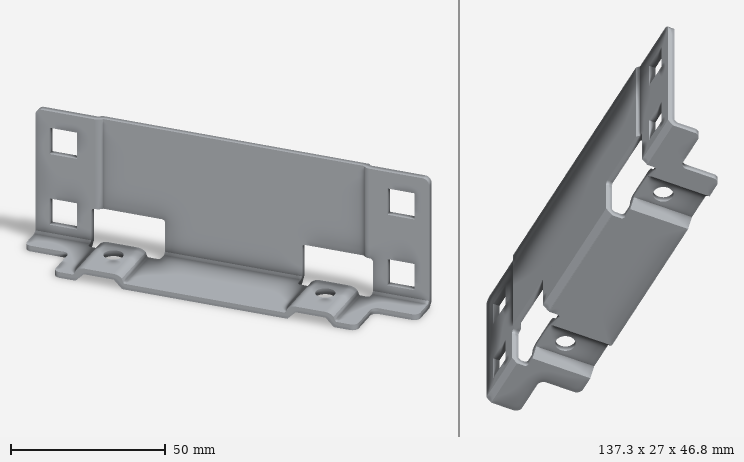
import cadquery as cq
import math

length = 137.3
depth = 27.0
height = 46.8
sheet = 2.0
half_length = length / 2

wall_setback = 1.0
end_panel_sheet = 2.3
step_front_x = 45.5
step_back_x = 46.5
step_convex_radius = 2.7
corner_radius = 2.2
end_panel_back = depth - wall_setback
end_panel_front = end_panel_back - end_panel_sheet
wall_front = depth - sheet

middle_outer_bevel = 2.2
end_outer_bevel = 1.8
bend_inner_bevel = 0.8

tongue_half_width = 52.9
strip_front_y = 14.3

pad_x = 37.0
pad_rise = 2.9
pad_top_half_width = 5.2
pad_foot_half_width = 8.7
pad_convex_radius = 4.0
pad_concave_radius = 0.7
pad_shoulder_angle = 45.0
hollow_top_half_width = 5.2
pad_hole_diameter = 6.6
pad_hole_y = 12.8

opening_inner_x = 23.9
opening_outer_x = 49.2
opening_front_y = 20.7
opening_top_z = 14.4
opening_radius = 1.1

square_side = 9.5
square_x = 58.9
square_heights = (10.6, 36.1)

sides = (-1, 1)
cut_clearance = 1.4


def box(x_range, y_range, z_range):
    """Axis-aligned box given by its limits."""
    corner = (x_range[0], y_range[0], z_range[0])
    size = [limits[1] - limits[0] for limits in (x_range, y_range, z_range)]
    return cq.Workplane("XY").box(*size, centered=False).translate(corner)


def mirrored(points):
    """Outline points reflected in the vertical axis, in the order that continues the outline."""
    return [(-x, y) for x, y in reversed(points)]


def make_wall():
    """Plan outline raised to full height, with 45 degree steps between middle and end panels."""
    step_front_end_x = step_front_x + wall_front - end_panel_front
    right_half = [
        (step_front_x, wall_front),
        (step_front_end_x, end_panel_front),
        (half_length, end_panel_front),
        (half_length, end_panel_back),
        (step_back_x + wall_setback, end_panel_back),
        (step_back_x, depth),
    ]
    wall = cq.Workplane("XY").polyline(right_half + mirrored(right_half)).close().extrude(height)
    for side in sides:
        step_edge = cq.selectors.NearestToPointSelector((side * step_front_end_x, end_panel_front, height / 2))
        wall = wall.edges("|Z").edges(step_edge).fillet(step_convex_radius)
    return wall.edges("|Y and >Z").edges("<X or >X").fillet(corner_radius)


def make_floor():
    right_half = [
        (tongue_half_width, 0),
        (tongue_half_width, strip_front_y),
        (half_length, strip_front_y),
        (half_length, end_panel_front + end_panel_sheet / 2),
    ]
    outline = cq.Workplane("XY").polyline(right_half + mirrored(right_half)).close().extrude(sheet + pad_rise)
    outline = outline.edges("|Z and (not >Y)").fillet(corner_radius)
    return outline.intersect(make_floor_section())


def make_floor_section():
    """Floor cross-section in XZ with both pads, running the whole depth."""
    section = box((-half_length, half_length), (0, depth), (0, sheet))
    for side in sides:
        section = section.union(make_pad(side)).cut(make_pad_hollow(side))
    return section


def make_pad(side):
    """Raised hump with rounded shoulders that end at 45 degrees, still solid underneath."""
    top_z = sheet + pad_rise
    arc_center_z = top_z - pad_convex_radius

    def shoulder(degrees):
        angle = math.radians(degrees)
        x = pad_top_half_width + pad_convex_radius * math.sin(angle)
        return (x, arc_center_z + pad_convex_radius * math.cos(angle))

    arc_end, arc_middle, arc_start = (
        shoulder(share * pad_shoulder_angle) for share in (1, 0.5, 0)
    )
    left_start, left_middle, left_end = mirrored([arc_end, arc_middle, arc_start])
    apron_half_width = pad_foot_half_width + 2 * pad_concave_radius
    pad = (
        cq.Workplane("XZ")
        .moveTo(apron_half_width, 0)
        .lineTo(apron_half_width, sheet)
        .lineTo(pad_foot_half_width, sheet)
        .lineTo(*arc_end)
        .threePointArc(arc_middle, arc_start)
        .lineTo(*left_start)
        .threePointArc(left_middle, left_end)
        .lineTo(-pad_foot_half_width, sheet)
        .lineTo(-apron_half_width, sheet)
        .lineTo(-apron_half_width, 0)
        .close()
        .extrude(-depth)
    )
    for foot_x in (-pad_foot_half_width, pad_foot_half_width):
        foot_edge = cq.selectors.NearestToPointSelector((foot_x, depth / 2, sheet))
        pad = pad.edges("|Y").edges(foot_edge).fillet(pad_concave_radius)
    return pad.translate((side * pad_x, 0, 0))


def make_pad_hollow(side):
    """Channel under a pad, with 45 degree flanks."""
    right_half = [(hollow_top_half_width + pad_rise, 0), (hollow_top_half_width, pad_rise)]
    hollow = cq.Workplane("XZ").polyline(right_half + mirrored(right_half)).close().extrude(-depth)
    return hollow.translate((side * pad_x, 0, 0))


def bend_prism(x_range, y, z, leg):
    """Right triangle with its square corner at (y, z) and legs of signed length, run along X."""
    triangle = cq.Workplane("YZ", origin=(x_range[0], 0, 0))
    triangle = triangle.polyline([(y, z), (y + leg, z), (y, z - leg)]).close()
    return triangle.extrude(x_range[1] - x_range[0])


def shape_bend(body, x_range, front_y, back_y, outer_bevel):
    """Bevel the outside of the bend and fill its inside corner over one stretch of X."""
    outer = bend_prism(x_range, back_y, 0, -outer_bevel)
    inner = bend_prism(x_range, front_y, sheet, -bend_inner_bevel)
    return body.cut(outer).union(inner)


def make_opening(side):
    inner_x, outer_x = sorted((side * opening_inner_x, side * opening_outer_x))
    opening = box((inner_x, outer_x), (opening_front_y, depth + cut_clearance), (-cut_clearance, opening_top_z))
    opening = opening.edges("|Y and >Z").fillet(opening_radius)
    return opening.edges("|Z and <Y").fillet(opening_radius)


def make_pad_hole(side):
    return cq.Workplane("XY").center(side * pad_x, pad_hole_y).circle(pad_hole_diameter / 2).extrude(height)


def make_square_hole(side, center_z):
    outline = cq.Workplane("XZ").center(side * square_x, center_z).rect(square_side, square_side)
    return outline.extrude(-depth)


result = make_wall().union(make_floor())

middle_range = (-opening_outer_x, opening_outer_x)
result = shape_bend(result, middle_range, wall_front, depth, middle_outer_bevel)
for side in sides:
    end_range = sorted((side * opening_outer_x, side * half_length))
    result = shape_bend(result, end_range, end_panel_front, end_panel_back, end_outer_bevel)

for side in sides:
    result = result.cut(make_opening(side)).cut(make_pad_hole(side))
    for square_z in square_heights:
        result = result.cut(make_square_hole(side, square_z))